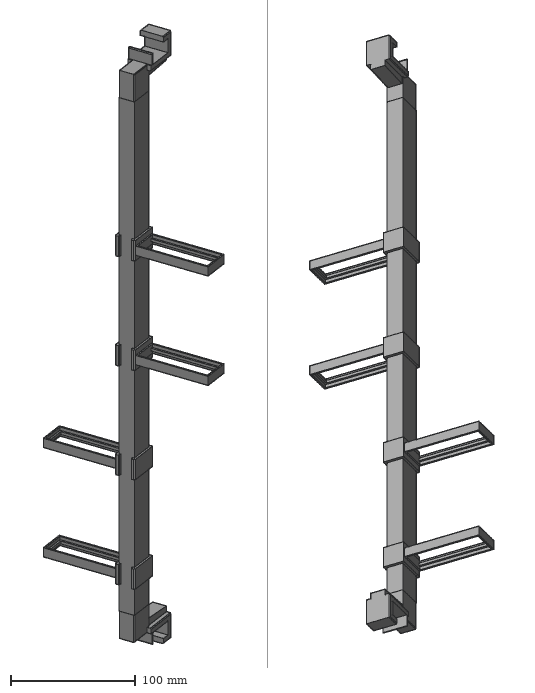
import cadquery as cq

rail_width = 14.6
rail_depth = 22.6
rail_back_y = -1.6
rail_front_y = rail_back_y - rail_depth
rail_mid_y = rail_back_y - rail_depth / 2
rail_half_length = 234.6

overall_height = 555.0
hook_top_z = overall_height / 2
hook_back_y = 26.825
hook_width = 22.0
hook_thickness = 5.0
hook_tip_y = 14.8
hook_chamfer = 0.8
block_length = 25.0
block_top_z = rail_half_length + block_length
block_chamfer = 0.6
arm_bottom_z = block_top_z - hook_thickness
arm_overlap = 2.8
arm_front_y = rail_back_y - arm_overlap
tab_thickness = 1.6
tab_height = 10.4
tab_top_z = block_top_z + tab_height
rib_width = 13.0
rib_root_height = 6.6
rib_end_height = 5.1
rib_root_z = arm_bottom_z - rib_root_height
rib_end_z = arm_bottom_z - rib_end_height

upper_clip_levels = (100.0, 0.0)
lower_clip_levels = (-100.0, -200.0)
clip_height = 18.5
clip_width = 18.6
clip_back_y = 0.8
clip_front_y = -26.825
clip_corner_chamfer = 1.0
lip_reach = 1.8
lip_bevel = 0.8

overall_width = 155.4
loop_start_x = clip_width / 2
loop_end_x = overall_width / 2
loop_mid_y = -13.2
loop_depth = 25.0
loop_height = 8.4
loop_rim = 1.5
loop_flange_reach = 1.8
loop_flange_height = 2.5


def box(x_range, y_range, z_range):
    """Box that fills the given low-to-high range on each axis."""
    low, high = zip(x_range, y_range, z_range)
    size = [b - a for a, b in zip(low, high)]
    return cq.Workplane("XY").box(*size, centered=False).translate(low)


def centered(width):
    """Range of the given width centred on zero."""
    return (-width / 2, width / 2)


def make_rail():
    return box(centered(rail_width), (rail_front_y, rail_back_y), centered(2 * rail_half_length))


def make_end_block():
    """Block that carries the rail's section on past its end."""
    block = box(
        centered(rail_width),
        (rail_front_y, rail_back_y),
        (rail_half_length, block_top_z),
    )
    return block.edges("(>Z and |Y) or (<Y and |Z)").chamfer(block_chamfer)


def make_hook_strip():
    """Arm behind the rail that turns up and then forward into the hook tip."""
    outline = [
        (arm_front_y, arm_bottom_z),
        (hook_back_y, arm_bottom_z),
        (hook_back_y, hook_top_z),
        (hook_tip_y, hook_top_z),
        (hook_tip_y, hook_top_z - hook_thickness),
        (hook_back_y - hook_thickness, hook_top_z - hook_thickness),
        (hook_back_y - hook_thickness, block_top_z),
        (arm_front_y, block_top_z),
    ]
    strip = cq.Workplane("YZ").polyline(outline).close().extrude(hook_width / 2, both=True)
    outer_edges = strip.faces(">Y or >Z or <Z").edges("<X or >X or (>Z and <Y)")
    return outer_edges.chamfer(hook_chamfer)


def make_tab():
    """Upright tab over the rail's back face, bevelled along its top front edge."""
    tab = box(
        centered(hook_width),
        (rail_back_y - tab_thickness, rail_back_y),
        (arm_bottom_z + hook_chamfer, tab_top_z),
    )
    return tab.edges(">Z and <Y").chamfer(hook_chamfer)


def make_rib():
    """Tapered rib under the arm."""
    outline = [
        (rail_back_y, arm_bottom_z),
        (rail_back_y, rib_root_z),
        (hook_back_y, rib_end_z),
        (hook_back_y, arm_bottom_z),
    ]
    return cq.Workplane("YZ").polyline(outline).close().extrude(rib_width / 2, both=True)


def make_upper_hook():
    return make_end_block().union(make_hook_strip()).union(make_tab()).union(make_rib())


def make_clip():
    """C-shaped clip around the rail, open at the front between two bevelled lips."""
    height = centered(clip_height)
    clip = box(centered(clip_width), (clip_front_y, clip_back_y), height)
    clip = clip.edges("<Y and |Z").chamfer(clip_corner_chamfer)
    rail_space = box(centered(rail_width), (rail_front_y, rail_back_y), height)
    gap_half_width = rail_width / 2 - lip_reach
    mouth_half_width = gap_half_width + lip_bevel
    opening_outline = [
        (-mouth_half_width, clip_front_y),
        (mouth_half_width, clip_front_y),
        (gap_half_width, clip_front_y + lip_bevel),
        (gap_half_width, rail_mid_y),
        (-gap_half_width, rail_mid_y),
        (-gap_half_width, clip_front_y + lip_bevel),
    ]
    opening = cq.Workplane("XY").polyline(opening_outline).close().extrude(clip_height / 2, both=True)
    return clip.cut(rail_space).cut(opening)


def loop_box(height, inset=0.0):
    """Box on the loop's outline, set in on its sides and outer end, and by the rim at its inner end."""
    return box(
        (loop_start_x + min(inset, loop_rim), loop_end_x - inset),
        (loop_mid_y - loop_depth / 2 + inset, loop_mid_y + loop_depth / 2 - inset),
        centered(height),
    )


def make_loop():
    """Rectangular ring: a thin full-height rim with a low flange inside all but its inner end."""
    window = loop_box(loop_height, loop_rim + loop_flange_reach)
    recesses = loop_box(loop_height, loop_rim).cut(loop_box(loop_flange_height, loop_rim))
    return loop_box(loop_height).cut(window).cut(recesses)


def make_loop_clip():
    return make_clip().union(make_loop())


rail = make_rail()
upper_hook = make_upper_hook()
end_hooks = [upper_hook, upper_hook.mirror("XY")]

right_clip = make_loop_clip()
left_clip = right_clip.mirror("YZ")
loop_clips = [right_clip.translate((0, 0, z)) for z in upper_clip_levels]
loop_clips += [left_clip.translate((0, 0, z)) for z in lower_clip_levels]

result = cq.Compound.makeCompound([body.val() for body in [rail, *end_hooks, *loop_clips]])